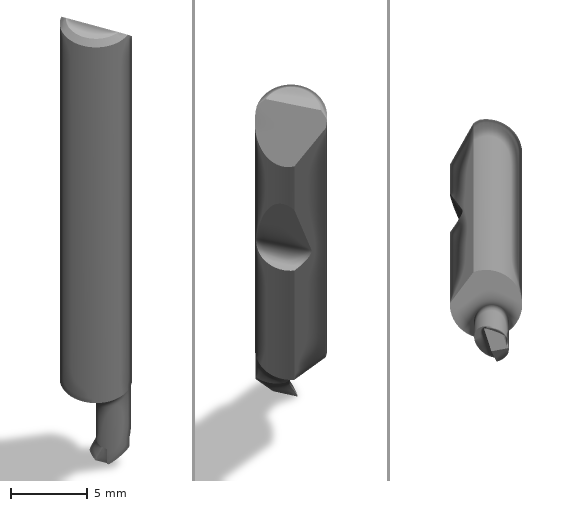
import cadquery as cq
import math

SHANK_DIAMETER = 4.76
SHANK_LENGTH = 31.75
SHANK_RADIUS = SHANK_DIAMETER / 2
END_CHAMFER = 0.4

FLAT_DISTANCE = 1.97
FLAT_DIRECTION = 142.4

BEVEL_EDGE_Y = -0.66

NOTCH_TOP_Z = SHANK_LENGTH - 8.1
NOTCH_FLOOR_LENGTH = 8.8
NOTCH_TILT = 9.3
NOTCH_FILLET = 0.95

NECK_DIAMETER = 2.28
NECK_RADIUS = NECK_DIAMETER / 2
NECK_LENGTH = 6.34
NECK_X = SHANK_RADIUS - NECK_RADIUS
RELIEF_START_Z = -3.15

TOOTH_DEPTH = 1.05
TOOTH_TOP_Z = -4.82
TOOTH_TOP_X = 0.12
TOOTH_END_X = -0.48
TIP_X = -0.42
FLANK_SETBACK = 0.8
FLANK_BULGE = 0.05
END_CLEARANCE_ANGLE = 8
END_EDGE_ANGLE = 2
CORNER_X = NECK_X - 0.08

OVERCUT = 1.0


def extrude_along_x(points):
    """Prism of a YZ outline, reaching past the shank on both sides."""
    return cq.Workplane("YZ").polyline(points).close().extrude(SHANK_DIAMETER, both=True)


def make_shank():
    shank = cq.Workplane("XY").circle(SHANK_RADIUS).extrude(SHANK_LENGTH)
    return shank.faces(">Z").chamfer(END_CHAMFER)


def flat_cutter():
    block = cq.Workplane("XY").box(
        SHANK_RADIUS, SHANK_DIAMETER, SHANK_LENGTH, centered=(False, True, False)
    )
    block = block.translate((FLAT_DISTANCE, 0, 0))
    return block.rotate((0, 0, 0), (0, 0, 1), FLAT_DIRECTION)


def bevel_cutter():
    outer_y = SHANK_RADIUS + OVERCUT
    run = outer_y - BEVEL_EDGE_Y
    return extrude_along_x([
        (BEVEL_EDGE_Y, SHANK_LENGTH),
        (outer_y, SHANK_LENGTH),
        (outer_y, SHANK_LENGTH - run),
    ])


def notch_cutter():
    """Block with one rounded edge, tilted about the upper edge of the notch."""
    block = cq.Workplane("XY").box(
        2 * SHANK_DIAMETER, SHANK_RADIUS, NOTCH_FLOOR_LENGTH, centered=(True, False, False)
    )
    block = block.edges("|X and <Y and <Z").fillet(NOTCH_FILLET)
    block = block.translate((0, SHANK_RADIUS, NOTCH_TOP_Z - NOTCH_FLOOR_LENGTH))
    pivot = (0, SHANK_RADIUS, NOTCH_TOP_Z)
    return block.rotate(pivot, (1, SHANK_RADIUS, NOTCH_TOP_Z), -NOTCH_TILT)


def make_neck():
    neck = cq.Workplane("XY").center(NECK_X, 0).circle(NECK_RADIUS).extrude(-NECK_LENGTH)

    outer_y = NECK_RADIUS + OVERCUT
    lower_z = -NECK_LENGTH - OVERCUT
    neck = neck.cut(extrude_along_x([
        (0, RELIEF_START_Z - NECK_RADIUS),
        (outer_y, RELIEF_START_Z + OVERCUT),
        (outer_y, lower_z),
        (0, lower_z),
    ]))

    room = cq.Workplane("XY").box(
        NECK_DIAMETER, 2 * NECK_DIAMETER, NECK_LENGTH, centered=(False, True, False)
    )
    return neck.cut(room.translate((NECK_X - NECK_DIAMETER, 0, TOOTH_TOP_Z - NECK_LENGTH)))


def tooth_section(z, edge_x):
    """XY section of the tooth at height z, with the cutting edge at edge_x."""
    back_x = edge_x + FLANK_SETBACK
    chord = math.hypot(FLANK_SETBACK, TOOTH_DEPTH)
    bulge_x = (edge_x + back_x) / 2 - FLANK_BULGE * TOOTH_DEPTH / chord
    bulge_y = -TOOTH_DEPTH / 2 - FLANK_BULGE * FLANK_SETBACK / chord
    return (
        cq.Workplane("XY", origin=(0, 0, z))
        .moveTo(edge_x, 0)
        .threePointArc((bulge_x, bulge_y), (back_x, -TOOTH_DEPTH))
        .lineTo(NECK_X, -TOOTH_DEPTH)
        .lineTo(NECK_X, 0)
        .close()
        .wire()
        .val()
    )


def end_cutter():
    """Block whose upper face is the end face of the neck and tooth, tilted on the tip."""
    tip = cq.Vector(TIP_X, 0, -NECK_LENGTH)
    block = cq.Workplane("XY").box(
        2 * SHANK_DIAMETER, 2 * SHANK_DIAMETER, NECK_LENGTH, centered=(True, True, False)
    )
    block = block.translate((0, 0, -2 * NECK_LENGTH))
    block = block.rotate(tip, tip + cq.Vector(1, 0, 0), -END_CLEARANCE_ANGLE)
    return block.rotate(tip, tip + cq.Vector(0, 1, 0), -END_EDGE_ANGLE)


def make_tooth():
    sections = [
        tooth_section(TOOTH_TOP_Z, TOOTH_TOP_X),
        tooth_section(-NECK_LENGTH, TOOTH_END_X),
    ]
    tooth = cq.Workplane(cq.Solid.makeLoft(sections, True))

    tip_block = cq.Workplane("XY").box(OVERCUT, SHANK_DIAMETER, 2 * NECK_LENGTH)
    return tooth.cut(tip_block.translate((TIP_X - OVERCUT / 2, 0, -NECK_LENGTH)))


def corner_cutter():
    """45 degree wedge taken off the lower end on the +X side."""
    corner = cq.Workplane("XZ").polyline([
        (CORNER_X, -NECK_LENGTH),
        (CORNER_X + NECK_DIAMETER, -NECK_LENGTH + NECK_DIAMETER),
        (CORNER_X + NECK_DIAMETER, -NECK_LENGTH - OVERCUT),
        (CORNER_X, -NECK_LENGTH - OVERCUT),
    ]).close()
    return corner.extrude(NECK_DIAMETER, both=True)


shank = make_shank().cut(flat_cutter()).cut(bevel_cutter()).cut(notch_cutter())
cutting_end = make_neck().union(make_tooth()).cut(end_cutter()).cut(corner_cutter())
result = shank.union(cutting_end)